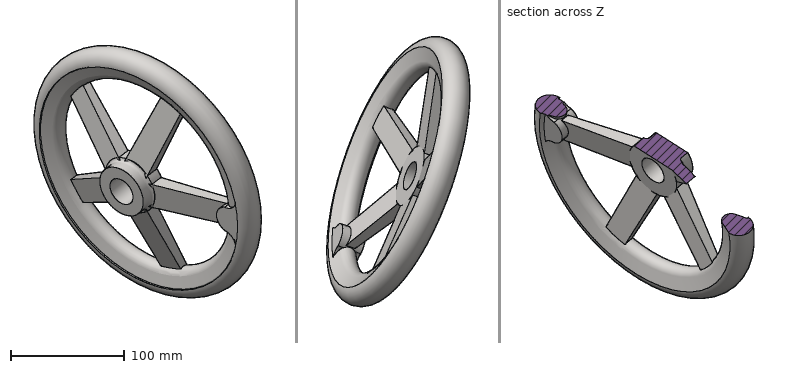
import cadquery as cq
import math

wheel_radius = 125.0
wheel_depth = 50.0

rim_depth = 26.0
grip_radius = rim_depth / 2
grip_center_radius = wheel_radius - grip_radius
seam_width = 0.7
seam_depth = 1.7
cone_inner_radius = 100.7
cone_drop = 4.7
rim_inner_radius = 94.7

hub_radius = 24.5
hub_flange_radius = 27.7
hub_nose_length = 8.2
hub_flare_length = 3.7
hub_back_y = -24.5
bore_diameter = 26.0

spoke_count = 5
spoke_hub_radius = 17.5
spoke_rim_radius = 98.7
spoke_hub_width = 25.5
spoke_rim_width = 23.5
spoke_hub_front_y = -40.5
spoke_rim_front_y = -15.7
spoke_hub_depth = 13.7
spoke_rim_depth = 8.5

boss_inner_radius = 86.7
boss_neck_radius = 96.0
boss_neck_half_width = 13.0
boss_front_y = seam_depth - rim_depth
boss_back_y = -seam_depth
boss_flare_radius = 12.2


def revolve_about_y(profile):
    """Turn a closed (radius, y) profile about the wheel axis."""
    return profile.close().revolve(360, (0, 0, 0), (0, 1, 0))


def make_rim():
    mid_y = -grip_radius
    seam_radius = grip_center_radius - seam_width
    seam_floor_y = seam_depth - rim_depth
    lip_front_y = cone_drop - rim_depth
    lip_back_y = -rim_depth - lip_front_y
    profile = (
        cq.Workplane("XY")
        .moveTo(grip_center_radius, 0)
        .threePointArc((wheel_radius, mid_y), (grip_center_radius, -rim_depth))
        .lineTo(grip_center_radius, seam_floor_y)
        .lineTo(seam_radius, seam_floor_y)
        .lineTo(cone_inner_radius, lip_front_y)
        .threePointArc((rim_inner_radius, mid_y), (cone_inner_radius, lip_back_y))
    )
    return revolve_about_y(profile)


def make_hub():
    nose_y = -wheel_depth + hub_nose_length
    flange_y = nose_y + hub_flare_length
    flare_bend = 1 - math.sqrt(0.5)
    flare_middle = (
        hub_radius + (hub_flange_radius - hub_radius) * flare_bend,
        flange_y - hub_flare_length * flare_bend,
    )
    profile = (
        cq.Workplane("XY")
        .moveTo(0, -wheel_depth)
        .lineTo(hub_radius, -wheel_depth)
        .lineTo(hub_radius, nose_y)
        .threePointArc(flare_middle, (hub_flange_radius, flange_y))
        .lineTo(hub_flange_radius, hub_back_y)
        .lineTo(0, hub_back_y)
    )
    return revolve_about_y(profile)


def make_spoke():
    """One spoke along +X: its side outline trimmed by its tapered front outline."""
    side = (
        cq.Workplane("XY")
        .moveTo(spoke_hub_radius, spoke_hub_front_y)
        .lineTo(spoke_rim_radius, spoke_rim_front_y)
        .lineTo(spoke_rim_radius, spoke_rim_front_y + spoke_rim_depth)
        .lineTo(spoke_hub_radius, spoke_hub_front_y + spoke_hub_depth)
        .close()
        .extrude(spoke_hub_width, both=True)
    )
    taper = (
        cq.Workplane("XZ")
        .moveTo(spoke_hub_radius, -spoke_hub_width / 2)
        .lineTo(spoke_rim_radius, -spoke_rim_width / 2)
        .lineTo(spoke_rim_radius, spoke_rim_width / 2)
        .lineTo(spoke_hub_radius, spoke_hub_width / 2)
        .close()
        .extrude(wheel_depth)
    )
    return side.intersect(taper)


def make_boss():
    """Round boss whose sides sweep outward into the rim."""
    flare_end_x = boss_neck_radius + boss_flare_radius
    flare_end_z = boss_neck_half_width + boss_flare_radius
    flare_middle_x = boss_neck_radius + boss_flare_radius * math.sqrt(0.5)
    flare_middle_z = boss_neck_half_width + boss_flare_radius * (1 - math.sqrt(0.5))
    boss_length = boss_back_y - boss_front_y
    outline = (
        cq.Workplane("XZ", origin=(0, boss_back_y, 0))
        .moveTo(boss_neck_radius, boss_neck_half_width)
        .threePointArc((boss_inner_radius, 0), (boss_neck_radius, -boss_neck_half_width))
        .threePointArc((flare_middle_x, -flare_middle_z), (flare_end_x, -flare_end_z))
        .lineTo(flare_end_x, flare_end_z)
        .threePointArc((flare_middle_x, flare_middle_z), (boss_neck_radius, boss_neck_half_width))
        .close()
        .extrude(boss_length)
    )
    reach_box = cq.Workplane("XY").box(
        grip_center_radius - flare_end_x,
        wheel_depth,
        2 * flare_end_z,
        centered=(False, True, True),
    ).translate((flare_end_x, 0, 0))
    rim_disc = (
        cq.Workplane("XZ", origin=(0, boss_back_y, 0))
        .circle(grip_center_radius)
        .extrude(boss_length)
    )
    reach = rim_disc.intersect(reach_box)
    return outline.union(reach)


wheel = make_rim().union(make_hub())
for index in range(spoke_count):
    angle = index * 360 / spoke_count
    wheel = wheel.union(make_spoke().rotate((0, 0, 0), (0, 1, 0), angle))
wheel = wheel.union(make_boss())

bore = cq.Workplane("XZ").circle(bore_diameter / 2).extrude(wheel_depth)
result = wheel.cut(bore).clean()